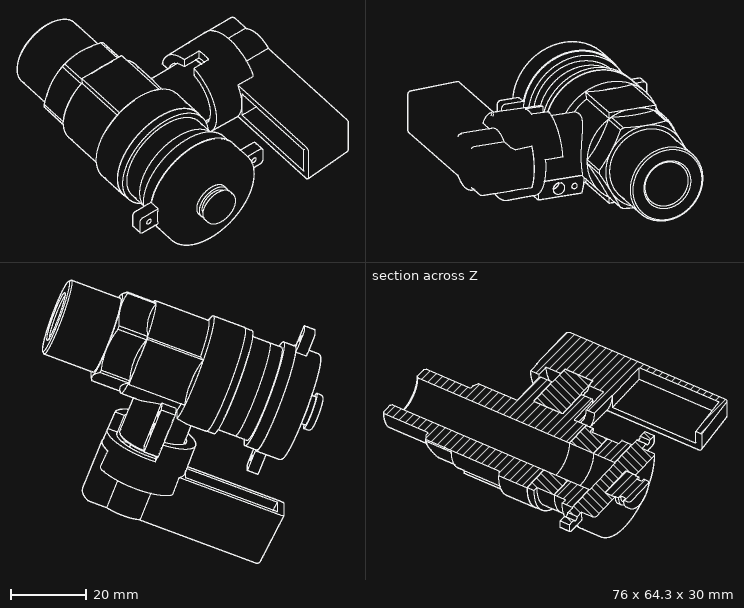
import cadquery as cq
import math


inlet_radius = 21.0 / 2
inlet_chamfer = 0.5
bore_radius = 12.5 / 2
bore_chamfer = 0.5

hex_start = 14.45
hex_across_flats = 23.2
hex_corner_radius = 26.2 / 2
hex_chamfer_length = 0.8
hex_end_chamfer_length = 1.0

barrel_start = 23.4
barrel_radius = 13.15
barrel_end = 38.5
pad_width = 13.5
pad_across = 26.0
shoulder_start = 39.4
shoulder_radius = 29.5 / 2

body_end = 48.3
connector_flange_end = 50.5
connector_end = 55.9
coupling_step = 59.35
nut_start = 62.6
nut_end = 69.9
connector_flange_radius = 29.25 / 2
outlet_neck_radius = 26.45 / 2
coupling_radius = shoulder_radius
nut_radius = 30.0 / 2
nut_fillet = 0.8

tab_thickness = 3.05
tab_half_height = 2.9
tab_reach = 21.0
tab_fillet = 1.1
tab_hole_radius = 1.5 / 2
tab_hole_offset = 17.85

plug_radius = 10.0 / 2
plug_depth = 3.05
plug_end = 74.5
plug_fillet = 0.9
plug_groove_radius = 8.05 / 2
plug_groove_start = 71.0
plug_groove_end = 72.5

stem_x = 35.95
stem_radius = 9.0 / 2
stem_bottom = 15.2
stem_top = 30.4
neck_radius = 17.0 / 2
neck_top = 24.25
neck_chamfer = 0.4

notch_width = 4.0
bracket_thickness = notch_width
bracket_bottom = -13.45
bracket_outer_y = 22.7
bracket_inner_y = 9.6
bracket_taper = 0.5
bracket_hole_z = -11.1
bracket_hole_y = 16.7
bracket_hole_radius = 3.3 / 2
wire_hole_y = 12.2
wire_hole_radius = 1.5 / 2

hub_radius = 11.9
hub_top = 33.75
hub_fillet = 0.8
skirt_top = 24.7
skirt_bottom = 19.7
skirt_bottom_radius = 11.6
recess_radius = 18.0 / 2
recess_top = 28.1

lever_bottom = 28.1
lever_top = 43.25
lever_end = 76.0
lever_end_slant = 1.3
lever_half_height = 6.1
lever_nose_radius = hub_radius
lever_boss_radius = 15.4 / 2
lever_corner_fillet = 1.0
lever_nose_fillet = 0.9
lever_top_fillet = 1.0
lever_wall = 2.0
cavity_start = stem_x + hub_radius


def x_cylinder(radius, start, end):
    """Cylinder along the pipe axis."""
    return cq.Workplane("YZ", origin=(start, 0, 0)).circle(radius).extrude(end - start)


def y_cylinder(radius, bottom, top):
    """Cylinder along the stem axis."""
    solid = cq.Solid.makeCylinder(
        radius, top - bottom, cq.Vector(stem_x, bottom, 0), cq.Vector(0, 1, 0)
    )
    return cq.Workplane(solid)


def block(x_range, y_range, z_range):
    """Box between two limits along each axis."""
    lows, highs = zip(x_range, y_range, z_range)
    sizes = [high - low for low, high in zip(lows, highs)]
    return cq.Workplane(cq.Solid.makeBox(*sizes, cq.Vector(*lows)))


def x_revolve(outline):
    """Body of revolution around the pipe axis from (x, radius) points."""
    return cq.Workplane("XY").polyline(outline).close().revolve(360, (0, 0, 0), (1, 0, 0))


def make_hexagon():
    """Hexagon with flats facing +Z and -Z, and corners cut round and chamfered."""
    corner_diameter = hex_across_flats / math.cos(math.radians(30))
    prism = (
        cq.Workplane("YZ", origin=(hex_start, 0, 0))
        .polygon(6, corner_diameter)
        .extrude(barrel_start - hex_start)
    )
    envelope = x_revolve([
        (hex_start, 0),
        (hex_start, hex_across_flats / 2),
        (hex_start + hex_chamfer_length, hex_corner_radius),
        (barrel_start, hex_corner_radius),
        (barrel_start, 0),
    ])
    return prism.intersect(envelope)


def make_barrel():
    """Round barrel with a conical start, wrench pads and a conical rise to the shoulder."""
    barrel = x_revolve([
        (barrel_start - hex_end_chamfer_length, 0),
        (barrel_start - hex_end_chamfer_length, hex_across_flats / 2),
        (barrel_start, barrel_radius),
        (barrel_end, barrel_radius),
        (barrel_end, 0),
    ])
    half_pad = pad_across / 2
    barrel = barrel.intersect(
        block((0, barrel_end), (-barrel_radius, barrel_radius), (-half_pad, half_pad))
    )
    pads = block(
        (barrel_start, shoulder_start), (-pad_width / 2, pad_width / 2), (-half_pad, half_pad)
    )
    shoulder = x_revolve([
        (barrel_end, 0),
        (barrel_end, barrel_radius),
        (shoulder_start, shoulder_radius),
        (body_end, shoulder_radius),
        (body_end, 0),
    ])
    return barrel.union(pads).union(shoulder)


def make_bracket():
    """Flat lug under the neck with a screw hole and a sealing wire hole."""
    bracket = (
        cq.Workplane("YZ", origin=(stem_x - bracket_thickness / 2, 0, 0))
        .polyline([
            (bracket_inner_y, -neck_radius / 2),
            (bracket_outer_y, -neck_radius / 2),
            (bracket_outer_y, bracket_bottom),
            (bracket_inner_y + bracket_taper, bracket_bottom),
            (bracket_inner_y, bracket_hole_z),
        ])
        .close()
        .extrude(bracket_thickness)
    )
    for hole_y, hole_radius in (
        (bracket_hole_y, bracket_hole_radius),
        (wire_hole_y, wire_hole_radius),
    ):
        hole = (
            cq.Workplane("YZ")
            .center(hole_y, bracket_hole_z)
            .circle(hole_radius)
            .extrude(body_end)
        )
        bracket = bracket.cut(hole)
    return bracket


def make_valve_body():
    """Inlet, hexagon, barrel, stem neck and bracket, with the bore and the stem hole."""
    inlet = x_cylinder(inlet_radius, 0, barrel_start).faces("<X").chamfer(inlet_chamfer)
    body = inlet.union(make_hexagon()).union(make_barrel())
    neck = y_cylinder(neck_radius, 0, neck_top).faces(">Y").chamfer(neck_chamfer)
    body = body.union(neck).union(make_bracket())
    bore = x_revolve([
        (0, 0),
        (0, bore_radius + bore_chamfer),
        (bore_chamfer, bore_radius),
        (body_end, bore_radius),
        (body_end, 0),
    ])
    return body.cut(bore).cut(y_cylinder(stem_radius, stem_bottom, neck_top))


def make_connector():
    """Flanged sleeve behind the valve body."""
    flange = x_cylinder(connector_flange_radius, body_end, connector_flange_end)
    sleeve = x_cylinder(outlet_neck_radius, body_end, connector_end)
    return flange.union(sleeve).cut(x_cylinder(bore_radius, body_end, connector_end))


def make_coupling():
    """Stepped sleeve between the connector and the nut."""
    sleeve = x_cylinder(outlet_neck_radius, connector_end, nut_start)
    collar = x_cylinder(coupling_radius, coupling_step, nut_start)
    return sleeve.union(collar).cut(x_cylinder(bore_radius, connector_end, nut_start))


def make_nut():
    """Round end nut with two sealing tabs and a recess for the plug."""
    disc = x_cylinder(nut_radius, nut_start, nut_end).faces(">X").edges().fillet(nut_fillet)
    tabs = block(
        (nut_start, nut_start + tab_thickness),
        (-tab_reach, tab_reach),
        (-tab_half_height, tab_half_height),
    )
    tabs = tabs.edges("|X").fillet(tab_fillet)
    holes = (
        cq.Workplane("YZ", origin=(nut_start, 0, 0))
        .pushPoints([(-tab_hole_offset, 0), (tab_hole_offset, 0)])
        .circle(tab_hole_radius)
        .extrude(tab_thickness)
    )
    recess = x_cylinder(plug_radius, nut_end - plug_depth, nut_end)
    return disc.union(tabs).cut(holes).cut(recess)


def make_plug():
    """Round plug with a groove and a rounded end."""
    plug = x_cylinder(plug_radius, nut_end - plug_depth, plug_end)
    plug = plug.faces(">X").edges().fillet(plug_fillet)
    groove = x_cylinder(plug_radius, plug_groove_start, plug_groove_end).cut(
        x_cylinder(plug_groove_radius, plug_groove_start, plug_groove_end)
    )
    return plug.cut(groove)


def make_stem():
    """Plain round stem joining the valve body and the handle."""
    return y_cylinder(stem_radius, stem_bottom, stem_top)


def make_lever():
    """Lever blank with a round nose, a slanted end and a round boss over the stem."""
    side_outline = [
        (stem_x - lever_nose_radius, lever_bottom),
        (lever_end, lever_bottom),
        (lever_end - lever_end_slant, lever_top),
        (stem_x - lever_nose_radius, lever_top),
    ]
    bar = (
        cq.Workplane("XY", origin=(0, 0, -lever_half_height))
        .polyline(side_outline)
        .close()
        .extrude(2 * lever_half_height)
    )
    y_range = (lever_bottom, lever_top)
    z_range = (-lever_half_height, lever_half_height)
    nose = y_cylinder(lever_nose_radius, *y_range)
    bar = bar.intersect(nose.union(block((stem_x, lever_end), y_range, z_range)))
    bar = bar.faces(">X").edges("not |Z").fillet(lever_corner_fillet)
    bar = bar.edges("|Y").edges("<X").fillet(lever_nose_fillet)
    lever = bar.union(y_cylinder(lever_boss_radius, *y_range))
    return lever.faces(">Y").edges().fillet(lever_top_fillet)


def make_hub():
    """Slightly tapered hub with a round recess, a quarter cut away as turning stop, and a notch."""
    hub = cq.Workplane(
        cq.Solid.makeCone(
            skirt_bottom_radius,
            hub_radius,
            hub_top - skirt_bottom,
            cq.Vector(stem_x, skirt_bottom, 0),
            cq.Vector(0, 1, 0),
        )
    )
    hub = hub.faces(">Y").edges().fillet(hub_fillet)
    skirt_range = (skirt_bottom, skirt_top)
    half_notch = notch_width / 2
    quarter = block(
        (stem_x - hub_radius, stem_x + half_notch), skirt_range, (-hub_radius, half_notch)
    )
    notch = block((stem_x - half_notch, stem_x + half_notch), skirt_range, (0, hub_radius))
    return hub.cut(quarter).cut(notch)


def make_lever_cavity():
    """Pocket in the underside of the lever, with its end wall parallel to the slanted end."""
    cavity_top = lever_top - lever_wall
    slant = lever_end_slant * (cavity_top - lever_bottom) / (lever_top - lever_bottom)
    cavity_end = lever_end - lever_wall
    return (
        cq.Workplane("XY", origin=(0, 0, lever_wall - lever_half_height))
        .polyline([
            (cavity_start, lever_bottom),
            (cavity_end, lever_bottom),
            (cavity_end - slant, cavity_top),
            (cavity_start, cavity_top),
        ])
        .close()
        .extrude(2 * (lever_half_height - lever_wall))
    )


def make_handle():
    """Hub and hollow lever, with a recess around the neck and a blind hole for the stem."""
    handle = make_hub().union(make_lever()).cut(make_lever_cavity())
    handle = handle.cut(y_cylinder(recess_radius, skirt_bottom, recess_top))
    return handle.cut(y_cylinder(stem_radius, recess_top, stem_top))


valve_body = make_valve_body()
connector = make_connector()
coupling = make_coupling()
nut = make_nut()
plug = make_plug()
stem = make_stem()
handle = make_handle()

result = cq.Compound.makeCompound([
    valve_body.val(),
    connector.val(),
    coupling.val(),
    nut.val(),
    plug.val(),
    stem.val(),
    handle.val(),
])